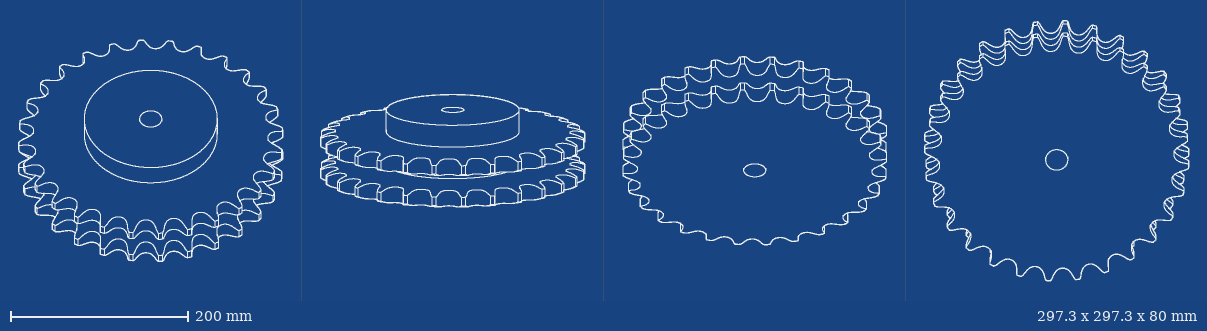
import cadquery as cq
import math

overall_width = 297.3
overall_height = 80.0

hub_diameter = 150.0
bore_diameter = 25.0

plate_width = 18.0
plate_spacing = 36.5
plate_count = 2

tooth_count = 28
pitch_radius = 141.8
roller_diameter = 19.0
relief_start_radius = 133.8
relief_arc_radius = 31.8

half_pitch_angle = math.radians(180 / tooth_count)
seat_angle = math.radians(35 + 60 / tooth_count)
working_angle = math.radians(18 - 56 / tooth_count)
seat_radius = 0.5025 * roller_diameter
working_centre_distance = 0.8 * roller_diameter
working_radius = seat_radius + working_centre_distance
topping_centre_distance = 1.4 * roller_diameter


def polar(centre, radius, angle):
    """Point at a radius and angle from a centre."""
    return (centre[0] + radius * math.cos(angle), centre[1] + radius * math.sin(angle))


def mirrored(point):
    """Point reflected across the middle line of the tooth gap."""
    return (-point[0], point[1])


roller_centre = (0, pitch_radius)
root_point = polar(roller_centre, seat_radius, -math.pi / 2)
seat_end = polar(roller_centre, seat_radius, -seat_angle)

working_centre = polar(roller_centre, working_centre_distance, math.pi - seat_angle)
flank_angle = working_angle - seat_angle
working_middle = polar(working_centre, working_radius, flank_angle - working_angle / 2)
working_end = polar(working_centre, working_radius, flank_angle)

topping_centre = polar(roller_centre, topping_centre_distance, -half_pitch_angle)
centre_offset_x = topping_centre[0] - working_end[0]
centre_offset_y = topping_centre[1] - working_end[1]
topping_radius = centre_offset_x * math.cos(flank_angle) + centre_offset_y * math.sin(flank_angle)
topping_start = polar(topping_centre, -topping_radius, flank_angle)

tip_height = overall_width / 2
tip_angle = math.pi - math.asin((tip_height - topping_centre[1]) / topping_radius)
tip_corner = polar(topping_centre, topping_radius, tip_angle)
topping_start_angle = math.pi + flank_angle
topping_middle = polar(topping_centre, topping_radius, (topping_start_angle + tip_angle) / 2)
tip_radius = math.hypot(*tip_corner)


def make_blank():
    """Round plate whose rim narrows along an arc on both faces."""
    half_width = plate_width / 2

    def rim_height(radius):
        run = radius - relief_start_radius
        return half_width - relief_arc_radius + math.sqrt(relief_arc_radius**2 - run**2)

    middle_radius = (relief_start_radius + tip_radius) / 2
    return (
        cq.Workplane("XZ")
        .moveTo(0, -half_width)
        .lineTo(relief_start_radius, -half_width)
        .threePointArc((middle_radius, -rim_height(middle_radius)), (tip_radius, -rim_height(tip_radius)))
        .lineTo(tip_radius, rim_height(tip_radius))
        .threePointArc((middle_radius, rim_height(middle_radius)), (relief_start_radius, half_width))
        .lineTo(0, half_width)
        .close()
        .revolve(360, (0, 0, 0), (0, 1, 0))
        .translate((0, 0, half_width))
    )


def make_tooth_outline():
    """Prism with the full ring of teeth: gaps in turn, joined by tip arcs."""
    pitch_angle = 2 * half_pitch_angle
    tooth_tip = polar((0, 0), tip_radius, math.pi / 2 - half_pitch_angle)

    def turned(point, index):
        angle = math.atan2(point[1], point[0]) - index * pitch_angle
        return polar((0, 0), math.hypot(*point), angle)

    outline = cq.Workplane("XY").moveTo(*mirrored(tip_corner))
    for index in range(tooth_count):
        outline = (
            outline
            .threePointArc(turned(mirrored(topping_middle), index), turned(mirrored(topping_start), index))
            .lineTo(*turned(mirrored(working_end), index))
            .threePointArc(turned(mirrored(working_middle), index), turned(mirrored(seat_end), index))
            .threePointArc(turned(root_point, index), turned(seat_end, index))
            .threePointArc(turned(working_middle, index), turned(working_end, index))
            .lineTo(*turned(topping_start, index))
            .threePointArc(turned(topping_middle, index), turned(tip_corner, index))
            .threePointArc(turned(tooth_tip, index), turned(mirrored(tip_corner), index + 1))
        )
    return outline.close().extrude(plate_width)


toothed_plate = make_blank().intersect(make_tooth_outline())

result = cq.Workplane("XY").circle(hub_diameter / 2).extrude(overall_height)
for level in range(plate_count):
    result = result.union(toothed_plate.translate((0, 0, level * plate_spacing)))

bore = cq.Workplane("XY").circle(bore_diameter / 2).extrude(overall_height)
result = result.cut(bore)